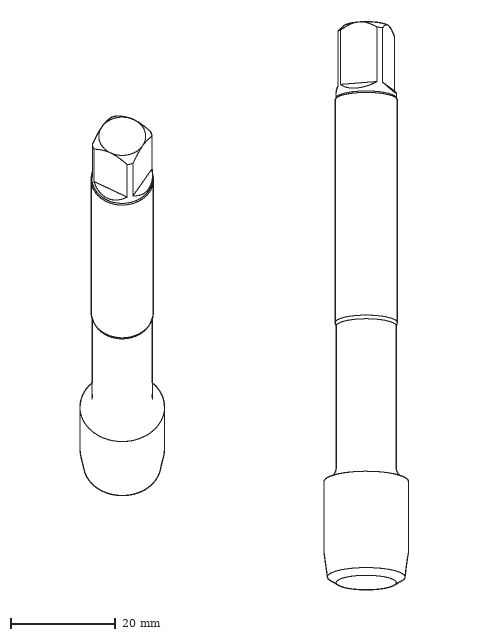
import cadquery as cq
import math

total_length = 110.0
tip_chamfer_top = 1.1
lead_taper_top = 5.9
head_rim = 20.0
neck_bottom = 22.9
neck_top = 50.8
shank_bottom = 51.5
shank_top = 95.6
collar_bottom = 95.9
flats_bottom = 97.9

tip_diameter = 11.5
lead_diameter = 15.0
head_diameter = 16.3
neck_diameter = 11.5
shank_diameter = 12.0
collar_diameter = 11.7
square_width = 9.0

flare_height = neck_bottom - head_rim
flare_width = (head_diameter - neck_diameter) / 2
flare_sweep = 2 * math.atan2(flare_width, flare_height)
flare_radius = flare_height / math.sin(flare_sweep)
flare_middle = (
    neck_diameter / 2 + flare_radius * (1 - math.cos(flare_sweep / 2)),
    neck_bottom - flare_radius * math.sin(flare_sweep / 2),
)


def revolve_profile(profile):
    """Close an (r, z) outline and turn it about the Z axis."""
    return profile.close().revolve(360, (0, 0, 0), (0, 1, 0))


def make_cutting_head():
    """Cutting head with a chamfered tip and a lead taper."""
    profile = (
        cq.Workplane("XZ")
        .lineTo(tip_diameter / 2, 0)
        .lineTo(lead_diameter / 2, tip_chamfer_top)
        .lineTo(head_diameter / 2, lead_taper_top)
        .lineTo(head_diameter / 2, head_rim)
        .lineTo(0, head_rim)
    )
    return revolve_profile(profile)


def make_flat_cutter():
    """Prism that cuts the flat on the +X side, with a 45 degree run-out below it."""
    flat_x = square_width / 2
    cutter_reach = shank_diameter
    runout = cutter_reach - flat_x
    return (
        cq.Workplane("XZ")
        .moveTo(flat_x, flats_bottom)
        .lineTo(cutter_reach, flats_bottom - runout)
        .lineTo(cutter_reach, total_length)
        .lineTo(flat_x, total_length)
        .close()
        .extrude(shank_diameter, both=True)
    )


def make_shank():
    """Flare, neck, shank and driving square turned from one bar."""
    top_chamfer = (collar_diameter - square_width) / 2
    profile = (
        cq.Workplane("XZ")
        .moveTo(0, head_rim)
        .lineTo(head_diameter / 2, head_rim)
        .threePointArc(flare_middle, (neck_diameter / 2, neck_bottom))
        .lineTo(neck_diameter / 2, neck_top)
        .lineTo(shank_diameter / 2, shank_bottom)
        .lineTo(shank_diameter / 2, shank_top)
        .lineTo(collar_diameter / 2, collar_bottom)
        .lineTo(collar_diameter / 2, total_length - top_chamfer)
        .lineTo(square_width / 2, total_length)
        .lineTo(0, total_length)
    )
    body = revolve_profile(profile)
    cutter = make_flat_cutter()
    for angle in (0, 90, 180, 270):
        body = body.cut(cutter.rotate((0, 0, 0), (0, 0, 1), angle))
    return body


cutting_head = make_cutting_head()
shank = make_shank()

result = cq.Compound.makeCompound([cutting_head.val(), shank.val()])